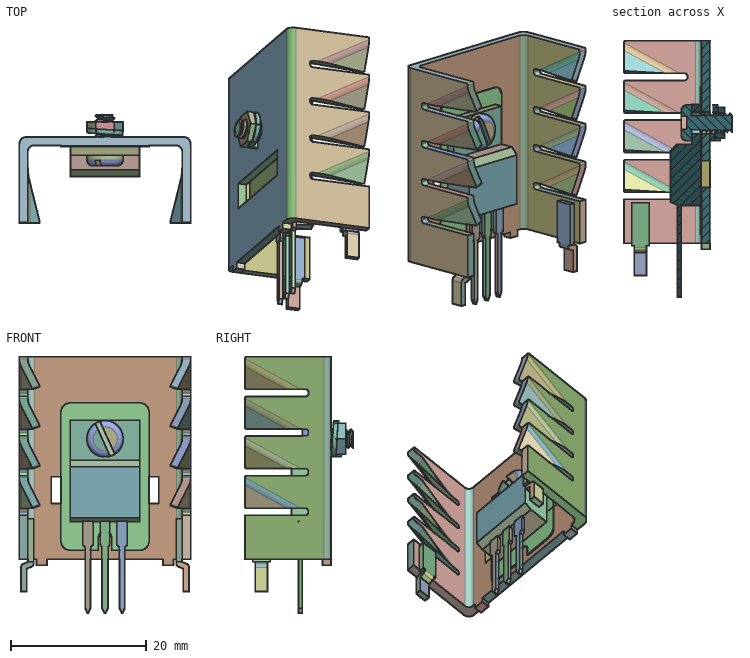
import cadquery as cq
import math


sink_width = 25.4
sink_depth = 12.75
sink_height = 29.98
sheet = 1.3
bend_outer_radius = 1.05
bend_inner_radius = 0.87
wall_outer_x = -sink_width / 2
wall_inner_x = wall_outer_x + sheet

window_width = 15.85
window_bottom = 8.27
window_height = 3.9
foot_width = 1.6
foot_height = 0.9
foot_outer_x = 10.17

fin_count = 4
base_wall_height = 6.53
slot_height = 1.02
slot_depth = 9.4
slot_end_radius = 0.45
fin_pitch = (sink_height - base_wall_height) / fin_count
fin_height = fin_pitch - slot_height
fin_corner_radius = 0.25
fold_run = 8.3
fold_rise = 4.55
fold_angle = math.radians(30)
fold_radius = 1.97
tip_bevel_angle = 20
fold_length = math.hypot(fold_run, fold_rise)
fold_cos = fold_run / fold_length
fold_sin = fold_rise / fold_length

tab_thickness = 0.87
tab_width = 2.6
tab_front_gap = 1.15
tab_top = 6.0
tab_bottom = -0.38
pin_width = 1.85
pin_outer_x = 12.45
pin_bottom = -4.8
jog_thickness = 0.6
jog_drop = 0.4
jog_radius = 0.57

pad_width = 13.05
pad_bottom = 1.33
pad_height = 21.82
pad_thickness = 0.15
pad_corner_radius = 1.4
pad_notch_radius = 1.0
pad_notch_center_z = 3.2

case_width = 10.25
case_bottom = 5.58
case_top = 20.55
step_top = 14.7
flange_thickness = 1.3
case_rear_y = -(sheet + pad_thickness)
flange_front_y = case_rear_y - flange_thickness
case_front_y = -5.9
case_chamfer = 1.02
draft_height = 0.55
draft_depth = 1.2
lead_spacing = 2.55
lead_thickness = 0.57
lead_front_y = -4.82
lead_rear_y = lead_front_y + lead_thickness
lead_shoulder_z = 2.13
lead_taper = 0.35
lead_bottom = -7.97
lead_tip_height = 0.72
lead_tip_width = 0.15
outer_lead_widths = (1.55, 0.8)
middle_lead_widths = (1.4, 0.95)

screw_z = 17.85
clearance_diameter = 3.2
head_diameter = 5.4
head_flat_diameter = 3.55
head_height = 1.55
head_round = (head_diameter - head_flat_diameter) / 2
drive_width = 0.75
drive_depth = 0.85
drive_angle = 24.4
thread_diameter = 2.85
thread_root_diameter = 2.1
thread_pitch = 0.75
thread_base = 0.7
thread_overlap = 0.05
thread_start_y = -1.25
screw_end_y = 3.25
washer_outer_diameter = 5.3
washer_inner_diameter = 3.2
washer_thickness = 0.7
washer_pitch = 0.85
nut_across_flats = 4.63
nut_rear_y = 2.2
nut_front_y = 0.72

select_margin = 0.05


def block(x0, x1, y0, y1, z0, z1):
    """Axis-aligned box between two opposite corners."""
    return cq.Workplane("XY").box(x1 - x0, y1 - y0, z1 - z0, centered=False).translate((x0, y0, z0))


def cylinder_y(diameter, y0, y1):
    """Cylinder along Y on the screw axis."""
    plane = cq.Plane(origin=(0, y0, screw_z), xDir=(1, 0, 0), normal=(0, 1, 0))
    return cq.Workplane(plane).circle(diameter / 2).extrude(y1 - y0)


def edges_in(x0, x1, y0, y1, z0, z1):
    """Selector for the edges whose middle lies within, or just outside, the given box."""
    low = cq.Vector(x0, y0, z0) - cq.Vector(select_margin, select_margin, select_margin)
    high = cq.Vector(x1, y1, z1) + cq.Vector(select_margin, select_margin, select_margin)
    return cq.selectors.BoxSelector(low.toTuple(), high.toTuple())


def coil(section, pitch, turns, radius, start_y):
    """Sweep an (r, axial) outline along a left-hand helix on the screw axis, starting below the axis."""
    path = cq.Wire.makeHelix(pitch, pitch * turns, radius, lefthand=True)
    swept = cq.Workplane("XZ").polyline(section).close().sweep(cq.Workplane(path), isFrenet=True)
    turned = swept.rotate((0, 0, 0), (0, 0, 1), 90).rotate((0, 0, 0), (1, 0, 0), -90)
    return turned.translate((0, start_y, screw_z))


def make_channel():
    channel = block(wall_outer_x, -wall_outer_x, -sink_depth, 0, 0, sink_height)
    channel = channel.edges("|Z and >Y").fillet(bend_outer_radius)
    inside = block(wall_inner_x, -wall_inner_x, -sink_depth, -sheet, 0, sink_height)
    return channel.cut(inside.edges("|Z and >Y").fillet(bend_inner_radius))


def fin_bottom(index):
    return sink_height - index * fin_pitch - fin_height


def make_slots():
    """Slots below the fins, running through both walls."""
    slots = cq.Workplane("XY")
    for index in range(fin_count):
        top = fin_bottom(index)
        end_y = -sink_depth + slot_depth
        slot = block(wall_outer_x, -wall_outer_x, -sink_depth, end_y, top - slot_height, top)
        slots = slots.add(slot.edges("|X and >Y").fillet(slot_end_radius))
    return slots.combine()


def make_corner(bottom):
    """Triangle in front of the fold line, across both walls."""
    corner = [(-sink_depth, bottom), (-sink_depth + fold_run, bottom), (-sink_depth, bottom + fold_rise)]
    return cq.Workplane("YZ").polyline(corner).close().extrude(sink_width / 2, both=True)


def make_bent_corner(bottom):
    """Front lower corner of a left-hand fin, folded inwards about its diagonal fold line."""
    along_fold = cq.Vector(0, -fold_cos, fold_sin)
    across_fold = cq.Vector(0, -fold_sin, -fold_cos)
    fold_start = cq.Vector(wall_outer_x, -sink_depth + fold_run, bottom)
    arc_middle = (fold_radius * math.sin(fold_angle / 2), fold_radius * (1 - math.cos(fold_angle / 2)))
    arc_end = (fold_radius * math.sin(fold_angle), fold_radius * (1 - math.cos(fold_angle)))
    tip_run = fold_run * fold_sin
    tip_shift = arc_end[1] + (tip_run - arc_end[0]) * math.tan(fold_angle)

    folded = (
        cq.Workplane(cq.Plane(fold_start, xDir=across_fold, normal=along_fold))
        .threePointArc(arc_middle, arc_end)
        .lineTo(tip_run, tip_shift)
        .lineTo(tip_run, tip_shift + sheet)
        .lineTo(arc_end[0], arc_end[1] + sheet)
        .threePointArc((arc_middle[0], arc_middle[1] + sheet), (0, sheet))
        .close()
        .extrude(fold_length)
        .intersect(make_corner(bottom))
    )

    bevel_start = fold_start + cq.Vector(sheet, 0, 0)
    bevel_line = cq.Vector(tip_shift - sheet, -fold_run, 0).normalized()
    level_across = cq.Vector(-bevel_line.y, bevel_line.x, 0)
    tilt = math.radians(tip_bevel_angle)
    bevel_normal = cq.Vector(0, 0, math.cos(tilt)) - level_across * math.sin(tilt)
    below_bevel = (
        cq.Workplane(cq.Plane(bevel_start, xDir=bevel_line, normal=bevel_normal))
        .rect(2 * fold_length, 2 * fold_length)
        .extrude(-fin_height)
    )
    folded = folded.cut(below_bevel)
    return folded.faces("<Y").edges("<Z").fillet(fin_corner_radius)


def make_solder_tab():
    """Left-hand tab: a plate on the inner wall face with a pin that jogs outwards below the wall."""
    rear = -sink_depth + tab_front_gap + tab_width
    plate_inner_x = wall_inner_x + tab_thickness
    plate = block(wall_inner_x, plate_inner_x, rear - tab_width, rear, tab_bottom, tab_top)
    pin_inner_x = -pin_outer_x + tab_thickness
    pin = (
        cq.Workplane("XZ", origin=(0, rear - (tab_width - pin_width) / 2, 0))
        .moveTo(wall_inner_x, tab_bottom)
        .lineTo(plate_inner_x, tab_bottom)
        .lineTo(plate_inner_x, tab_bottom - jog_thickness)
        .lineTo(pin_inner_x, tab_bottom - jog_thickness - jog_drop)
        .lineTo(pin_inner_x, pin_bottom)
        .lineTo(-pin_outer_x, pin_bottom)
        .lineTo(-pin_outer_x, tab_bottom - jog_drop)
        .close()
        .extrude(pin_width)
    )
    inner_bend_z = tab_bottom - jog_thickness
    outer_bend_z = tab_bottom - jog_drop
    bends = edges_in(plate_inner_x, plate_inner_x, -sink_depth, 0, inner_bend_z, inner_bend_z)
    bends = bends + edges_in(-pin_outer_x, -pin_outer_x, -sink_depth, 0, outer_bend_z, outer_bend_z)
    pin = pin.edges("|Y").edges(bends).fillet(jog_radius)
    return plate.union(pin)


def make_heat_sink():
    sink = make_channel().cut(make_slots())
    window_x = window_width / 2
    sink = sink.cut(block(-window_x, window_x, -sheet, 0, window_bottom, window_bottom + window_height))
    sink = sink.cut(cylinder_y(clearance_diameter, -sheet, 0))
    for index in range(fin_count):
        bottom = fin_bottom(index)
        top = bottom + fin_height
        top_edges = edges_in(wall_outer_x, -wall_outer_x, -sink_depth, -sink_depth, top, top)
        sink = sink.edges(top_edges).fillet(fin_corner_radius)
        sink = sink.cut(make_corner(bottom))
    left_parts = [make_bent_corner(fin_bottom(index)) for index in range(fin_count)]
    left_parts.append(make_solder_tab())
    left_parts.append(block(-foot_outer_x, -foot_outer_x + foot_width, -sheet, 0, -foot_height, 0))
    for part in left_parts:
        sink = sink.union(part).union(part.mirror("YZ"))
    return sink


def make_pad():
    pad_x = pad_width / 2
    pad = block(-pad_x, pad_x, case_rear_y, -sheet, pad_bottom, pad_bottom + pad_height)
    pad = pad.edges("|Y").fillet(pad_corner_radius)
    notch = (
        cq.Workplane("XZ", origin=(0, -sheet, 0))
        .moveTo(-pad_notch_radius, pad_bottom)
        .lineTo(-pad_notch_radius, pad_notch_center_z)
        .threePointArc((0, pad_notch_center_z + pad_notch_radius), (pad_notch_radius, pad_notch_center_z))
        .lineTo(pad_notch_radius, pad_bottom)
        .close()
        .extrude(pad_thickness)
    )
    return pad.cut(notch).cut(cylinder_y(clearance_diameter, case_rear_y, -sheet))


def make_lead(center_x, widths):
    wide = widths[0] / 2
    narrow = widths[1] / 2
    tip = lead_tip_width / 2
    right_side = [
        (wide, case_bottom + draft_height),
        (wide, lead_shoulder_z),
        (narrow, lead_shoulder_z - lead_taper),
        (narrow, lead_bottom + lead_tip_height),
        (tip, lead_bottom),
    ]
    left_side = [(-x, z) for x, z in reversed(right_side)]
    lead = cq.Workplane("XZ", origin=(center_x, lead_rear_y, 0)).polyline(right_side + left_side).close()
    return lead.extrude(lead_thickness)


def make_transistor():
    profile = [
        (case_rear_y, case_bottom),
        (case_front_y + draft_depth, case_bottom),
        (case_front_y, case_bottom + draft_height),
        (case_front_y, step_top - case_chamfer),
        (case_front_y + case_chamfer, step_top),
        (flange_front_y, step_top),
        (flange_front_y, case_top),
        (case_rear_y, case_top),
    ]
    case = cq.Workplane("YZ").polyline(profile).close().extrude(case_width / 2, both=True)
    case = case.cut(cylinder_y(clearance_diameter, flange_front_y, case_rear_y))
    case = case.union(make_lead(0, middle_lead_widths))
    for side in (-1, 1):
        case = case.union(make_lead(side * lead_spacing, outer_lead_widths))
    return case


def make_screw():
    head_front_y = flange_front_y - head_height
    head = cylinder_y(head_diameter, head_front_y, flange_front_y).faces("<Y").edges().fillet(head_round)
    drive = block(
        -drive_width / 2, drive_width / 2, head_front_y, head_front_y + drive_depth,
        screw_z - head_diameter, screw_z + head_diameter,
    ).rotate((0, 0, screw_z), (0, 1, screw_z), -drive_angle)
    root = thread_root_diameter / 2
    sunk_root = root - thread_overlap
    ridge = [(sunk_root, -thread_base / 2), (thread_diameter / 2, 0), (sunk_root, thread_base / 2)]
    turns = math.ceil((screw_end_y - thread_start_y) / thread_pitch) + 1
    thread = coil(ridge, thread_pitch, turns, root, thread_start_y)
    run_out_y = thread_start_y + (turns + 1) * thread_pitch
    shank = cylinder_y(thread_root_diameter, flange_front_y, run_out_y).union(thread)
    shank = shank.intersect(cylinder_y(head_diameter, flange_front_y, screw_end_y))
    return head.cut(drive).union(shank)


def make_washer():
    inner = washer_inner_diameter / 2
    outer = washer_outer_diameter / 2
    section = [(inner, 0), (outer, 0), (outer, washer_thickness), (inner, washer_thickness)]
    return coil(section, washer_pitch, 1, inner, 0)


def make_nut(washer):
    """Hexagon nut with corners toward +X and -X; the washer beds into its front face."""
    plane = cq.Plane(origin=(0, nut_front_y, screw_z), xDir=(1, 0, 0), normal=(0, 1, 0))
    across_corners = nut_across_flats / math.cos(math.radians(30))
    nut = cq.Workplane(plane).polygon(6, across_corners).extrude(nut_rear_y - nut_front_y)
    return nut.cut(cylinder_y(thread_diameter, nut_front_y, nut_rear_y)).cut(washer)


heat_sink = make_heat_sink()
pad = make_pad()
transistor = make_transistor()
screw = make_screw()
washer = make_washer()
nut = make_nut(washer)

result = cq.Compound.makeCompound(
    [body.solids().val() for body in (heat_sink, pad, transistor, screw, washer, nut)]
)